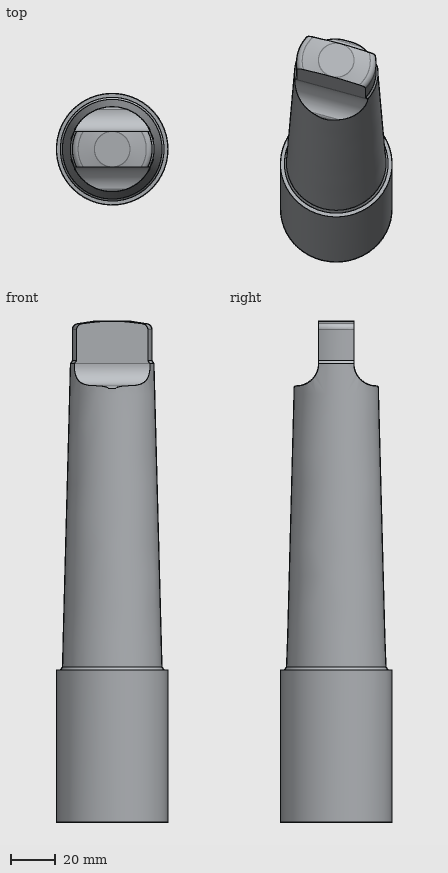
import cadquery as cq

total_length = 224.0
body_radius = 50.0 / 2
body_height = 68.0

neck_flare_width = 1.0
neck_flare_height = 1.3

taper_base_radius = 44.5 / 2
taper_end_radius = 37.5 / 2
taper_end_z = total_length - 19.0

tang_radius = 35.6 / 2
tang_thickness = 16.0
tang_base_z = total_length - 17.7
tang_edge_radius = 2.7
crown_flat_radius = tang_thickness / 2
crown_edge_radius = 15.2
crown_drop = 1.1

runout_radius = 9.9
runout_lip_radius = 1.1


def make_turned_blank():
    """Body, taper and crowned tang revolved about Z."""
    crown_edge_z = total_length - crown_drop
    tang_side_z = crown_edge_z - tang_edge_radius
    blank = (
        cq.Workplane("XZ")
        .lineTo(body_radius, 0)
        .lineTo(body_radius, body_height)
        .lineTo(taper_base_radius + neck_flare_width, body_height)
        .lineTo(taper_base_radius, body_height + neck_flare_height)
        .lineTo(taper_end_radius, taper_end_z)
        .lineTo(tang_radius, tang_base_z)
        .lineTo(tang_radius, tang_side_z)
        .radiusArc((crown_edge_radius, crown_edge_z), -tang_edge_radius)
        .lineTo(crown_flat_radius, total_length)
        .lineTo(0, total_length)
        .close()
        .revolve(360, (0, 0, 0), (0, 1, 0))
    )
    return blank


def make_flat_cutter():
    """Material beside the +Y tang flat, with its hollow run-out and rounded lip."""
    flat_y = tang_thickness / 2
    runout_end_y = flat_y + runout_radius
    runout_end_z = taper_end_z - runout_radius
    lip_y = runout_end_y + runout_lip_radius
    lip_z = runout_end_z - runout_lip_radius
    outer_y = body_radius
    return (
        cq.Workplane("YZ")
        .moveTo(flat_y, total_length)
        .lineTo(flat_y, taper_end_z)
        .radiusArc((runout_end_y, runout_end_z), -runout_radius)
        .radiusArc((lip_y, lip_z), runout_lip_radius)
        .lineTo(outer_y, lip_z)
        .lineTo(outer_y, total_length)
        .close()
        .extrude(body_radius, both=True)
    )


flat_cutter = make_flat_cutter()
result = make_turned_blank().cut(flat_cutter).cut(flat_cutter.mirror("XZ"))